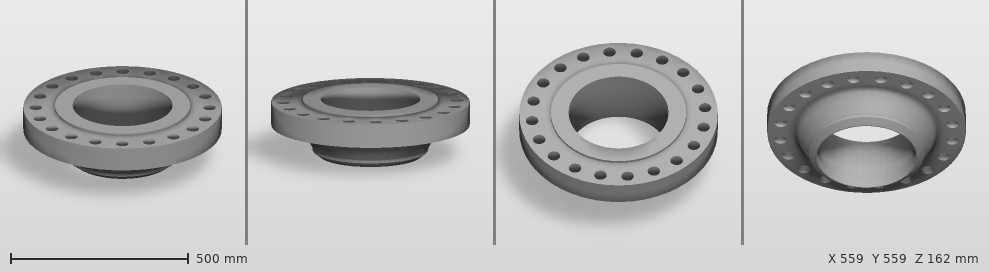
import cadquery as cq
import math

flange_diameter = 559.0
total_height = 162.0
raised_face_diameter = 381.0
raised_face_height = 6.5
plate_thickness = 67.0
bore_diameter = 281.0

hub_fillet = 13.0
hub_top_diameter = 400.0
weld_end_diameter = 325.0
weld_land_height = 8.5
bevel_height = 15.0
bevel_end_diameter = 286.0

bolt_count = 20
bolt_hole_diameter = 35.0
bolt_circle_diameter = 489.0

plate_top = total_height - raised_face_height
plate_bottom = plate_top - plate_thickness
land_top = bevel_height + weld_land_height

hub_corner_radius = hub_top_diameter / 2
weld_end_radius = weld_end_diameter / 2
cone_slope = math.atan2(plate_bottom - land_top, hub_corner_radius - weld_end_radius)
fillet_tangent = hub_fillet * math.tan(cone_slope / 2)
fillet_start_radius = hub_corner_radius + fillet_tangent
fillet_centre_z = plate_bottom - hub_fillet
fillet_end = (
    hub_corner_radius - fillet_tangent * math.cos(cone_slope),
    plate_bottom - fillet_tangent * math.sin(cone_slope),
)
fillet_middle = (
    fillet_start_radius - hub_fillet * math.sin(cone_slope / 2),
    fillet_centre_z + hub_fillet * math.cos(cone_slope / 2),
)


def make_body():
    """Revolve the half section, given as (radius, height), about Z."""
    profile = (
        cq.Workplane("XZ")
        .moveTo(bore_diameter / 2, 0)
        .lineTo(bevel_end_diameter / 2, 0)
        .lineTo(weld_end_radius, bevel_height)
        .lineTo(weld_end_radius, land_top)
        .lineTo(*fillet_end)
        .threePointArc(fillet_middle, (fillet_start_radius, plate_bottom))
        .lineTo(flange_diameter / 2, plate_bottom)
        .lineTo(flange_diameter / 2, plate_top)
        .lineTo(raised_face_diameter / 2, plate_top)
        .lineTo(raised_face_diameter / 2, total_height)
        .lineTo(bore_diameter / 2, total_height)
        .close()
    )
    return profile.revolve(360, (0, 0, 0), (0, 1, 0))


def make_bolt_holes():
    """Ring of through-hole cutters, the first one on the X axis."""
    return (
        cq.Workplane("XY")
        .workplane(offset=plate_bottom)
        .polarArray(bolt_circle_diameter / 2, 0, 360, bolt_count)
        .circle(bolt_hole_diameter / 2)
        .extrude(plate_thickness)
    )


result = make_body().cut(make_bolt_holes())